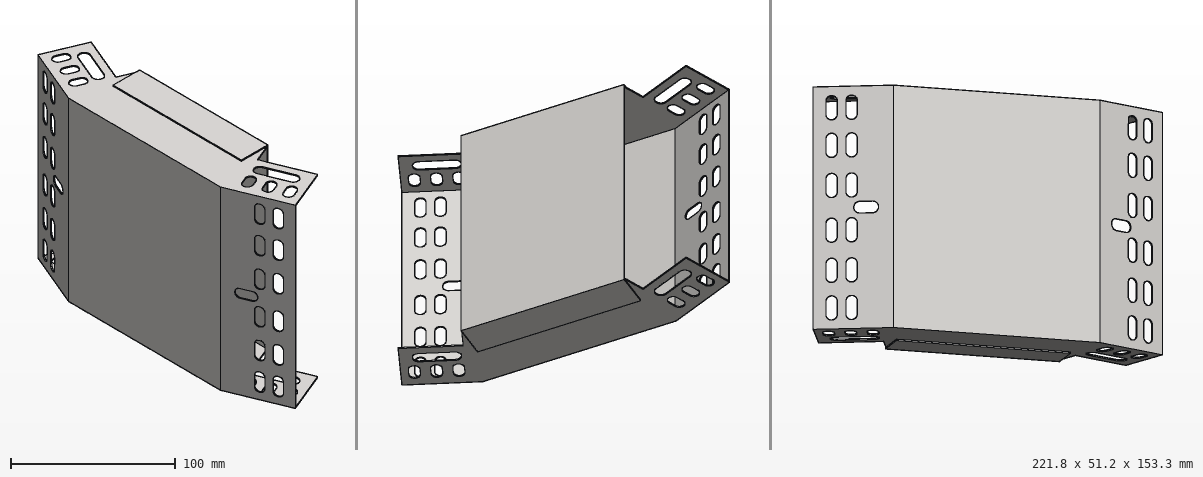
import cadquery as cq
import math

OVERALL_LENGTH = 221.8
LID_HEIGHT = 153.3
SHEET = 0.9

BEND_ANGLE = 22.5
FRONT_WIDTH = 130.9
ARM_FLANGE_DEPTH = 35.0
MIDDLE_FLANGE_DEPTH = 49.7
LID_WIDTH = 110.5
LID_FLANGE_DEPTH = 22.6

WALL_SLOT_LENGTH = 15.0
WALL_SLOT_WIDTH = 6.9
WALL_SLOT_FIRST = 11.3
WALL_SLOT_PITCH = 12.2
WALL_SLOT_HEIGHTS = [14.0, 39.0, 62.5]
CENTRE_SLOT_LENGTH = 15.0
CENTRE_SLOT_WIDTH = 7.3
CENTRE_SLOT_FROM_TIP = 32.4

LONG_SLOT_LENGTH = 30.0
LONG_SLOT_WIDTH = 8.0
LONG_SLOT_FROM_TIP = 23.0
LONG_SLOT_FROM_WALL = 25.5
SHORT_SLOT_LENGTH = 12.0
SHORT_SLOT_WIDTH = 7.0
SHORT_SLOT_FIRST = 8.5
SHORT_SLOT_PITCH = 13.5
SHORT_SLOT_COUNT = 3
SHORT_SLOT_FROM_WALL = 12.0

CHANNEL_HEIGHT = LID_HEIGHT - 2 * SHEET
BEND = math.radians(BEND_ANGLE)
HALF_LENGTH = OVERALL_LENGTH / 2
HALF_FRONT = FRONT_WIDTH / 2
ARM_RUN = HALF_LENGTH - HALF_FRONT
ARM_RISE = ARM_RUN * math.tan(BEND)
CUT_DEPTH = 2 * SHEET


def arm_point(from_tip, from_wall):
    """Point on the right-hand arm, in XY."""
    x = HALF_LENGTH - from_tip * math.cos(BEND) - from_wall * math.sin(BEND)
    y = ARM_RISE - from_tip * math.sin(BEND) + from_wall * math.cos(BEND)
    return (x, y)


def mirrored_outline(right_half):
    """Closed outline from its right half, listed from the front to the back."""
    left_half = [(-x, y) for x, y in reversed(right_half)]
    return cq.Workplane("XY").polyline(right_half + left_half).close()


def on_both_arms(right_arm_shape):
    return right_arm_shape.union(right_arm_shape.mirror("YZ"))


def bent_wall():
    """Front wall with its two arms leaning back."""
    inner_half_front = HALF_FRONT - SHEET * math.tan(BEND / 2)
    right_half = [
        (HALF_FRONT, 0),
        arm_point(0, 0),
        arm_point(0, SHEET),
        (inner_half_front, SHEET),
    ]
    return mirrored_outline(right_half).extrude(CHANNEL_HEIGHT / 2, both=True)


def flange(bottom):
    """Flat flange; the arm flanges end square, in line with the middle flange corners."""
    corner_x = LID_WIDTH / 2
    corner_y = MIDDLE_FLANGE_DEPTH
    notch_from_tip = (HALF_LENGTH - corner_x) * math.cos(BEND) + (ARM_RISE - corner_y) * math.sin(BEND)
    right_half = [
        (HALF_FRONT, 0),
        arm_point(0, 0),
        arm_point(0, ARM_FLANGE_DEPTH),
        arm_point(notch_from_tip, ARM_FLANGE_DEPTH),
        (corner_x, corner_y),
    ]
    return mirrored_outline(right_half).extrude(SHEET).translate((0, 0, bottom))


def wall_slots():
    """Two columns of upright slots and one lengthwise slot through each arm wall."""
    x, y = arm_point(0, SHEET / 2)
    arm_plane = cq.Plane(
        origin=(x, y, 0),
        xDir=(-math.cos(BEND), -math.sin(BEND), 0),
        normal=(-math.sin(BEND), math.cos(BEND), 0),
    )
    heights = WALL_SLOT_HEIGHTS + [-height for height in WALL_SLOT_HEIGHTS]
    columns = [WALL_SLOT_FIRST, WALL_SLOT_FIRST + WALL_SLOT_PITCH]
    upright = (
        cq.Workplane(arm_plane)
        .pushPoints([(column, height) for column in columns for height in heights])
        .slot2D(WALL_SLOT_LENGTH, WALL_SLOT_WIDTH, 90)
        .extrude(CUT_DEPTH, both=True)
    )
    lengthwise = (
        cq.Workplane(arm_plane)
        .center(CENTRE_SLOT_FROM_TIP, 0)
        .slot2D(CENTRE_SLOT_LENGTH, CENTRE_SLOT_WIDTH)
        .extrude(CUT_DEPTH, both=True)
    )
    return on_both_arms(upright.union(lengthwise))


def flange_slots():
    """One long slot and a row of short slots through the top and bottom arm flanges."""
    long_slot = (
        cq.Workplane("XY")
        .pushPoints([arm_point(LONG_SLOT_FROM_TIP, LONG_SLOT_FROM_WALL)])
        .slot2D(LONG_SLOT_LENGTH, LONG_SLOT_WIDTH, BEND_ANGLE)
        .extrude(LID_HEIGHT / 2, both=True)
    )
    short_centres = [
        arm_point(SHORT_SLOT_FIRST + i * SHORT_SLOT_PITCH, SHORT_SLOT_FROM_WALL)
        for i in range(SHORT_SLOT_COUNT)
    ]
    short_slots = (
        cq.Workplane("XY")
        .pushPoints(short_centres)
        .slot2D(SHORT_SLOT_LENGTH, SHORT_SLOT_WIDTH, BEND_ANGLE + 90)
        .extrude(LID_HEIGHT / 2, both=True)
    )
    return on_both_arms(long_slot.union(short_slots))


def make_channel():
    """Bent channel: front wall, arms, and flanges along the top and bottom."""
    channel = bent_wall()
    for bottom in (-CHANNEL_HEIGHT / 2, CHANNEL_HEIGHT / 2 - SHEET):
        channel = channel.union(flange(bottom))
    return channel.cut(wall_slots()).cut(flange_slots())


def make_lid():
    """U-shaped lid that closes the back and grips the middle flanges from outside."""
    back = MIDDLE_FLANGE_DEPTH + SHEET
    block = (
        cq.Workplane("XY")
        .box(LID_WIDTH, LID_FLANGE_DEPTH, LID_HEIGHT)
        .translate((0, back - LID_FLANGE_DEPTH / 2, 0))
    )
    opening = (
        cq.Workplane("XY")
        .box(LID_WIDTH, LID_FLANGE_DEPTH, CHANNEL_HEIGHT)
        .translate((0, MIDDLE_FLANGE_DEPTH - LID_FLANGE_DEPTH / 2, 0))
    )
    return block.cut(opening)


channel = make_channel()
lid = make_lid()

result = cq.Compound.makeCompound([channel.val(), lid.val()])